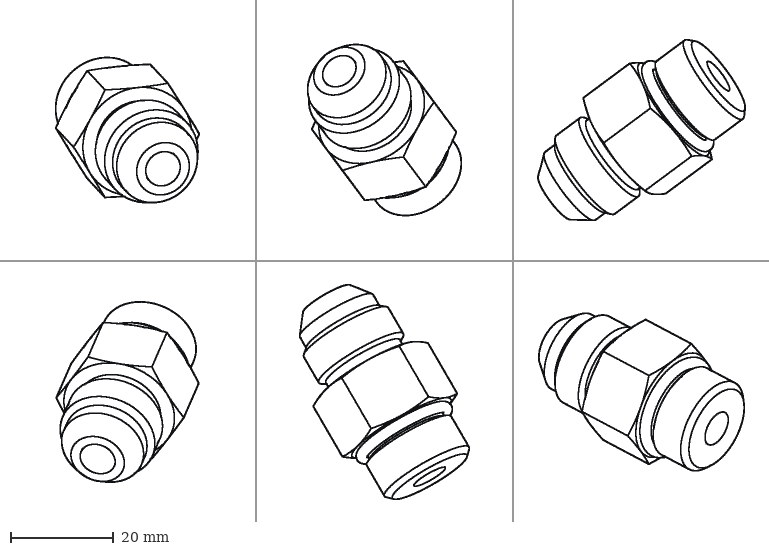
import cadquery as cq
import math

length = 40.65
bore_diameter = 7.05

thread_radius = 19.05 / 2
port_chamfer = 1.15
groove_radius = 16.82 / 2
thread_runout_start = 8.13
groove_start = 8.78

hex_start = 11.18
hex_end = 24.0
hex_flats = 22.25
hex_corners = hex_flats / math.cos(math.radians(30))
hex_chamfer_angle = 20.0

neck_radius = 16.7 / 2
neck_end = 26.38
flare_thread_start = 27.1
flare_thread_end = 33.05
pilot_radius = 16.5 / 2
pilot_start = 34.18
cone_start = 36.8
cone_angle = 37.0
cone_end_radius = pilot_radius - (length - cone_start) * math.tan(math.radians(cone_angle))

ring_outer_radius = 21.2 / 2
ring_section_radius = (ring_outer_radius - groove_radius) / 2
ring_center_radius = groove_radius + ring_section_radius
ring_center_x = hex_start - ring_section_radius


def revolve_about_x(profile):
    return profile.close().revolve(360, (0, 0, 0), (1, 0, 0))


def make_port_end():
    profile = (
        cq.Workplane("XY")
        .lineTo(0, thread_radius - port_chamfer)
        .lineTo(port_chamfer, thread_radius)
        .lineTo(thread_runout_start, thread_radius)
        .lineTo(groove_start, groove_radius)
        .lineTo(hex_start, groove_radius)
        .lineTo(hex_start, 0)
    )
    return revolve_about_x(profile)


def make_hexagon():
    prism = (
        cq.Workplane("YZ", origin=(hex_start, 0, 0))
        .polygon(6, hex_corners)
        .extrude(hex_end - hex_start)
    )
    end_radius = hex_flats / 2
    half_length = (hex_end - hex_start) / 2
    peak_radius = end_radius + half_length / math.tan(math.radians(hex_chamfer_angle))
    envelope = revolve_about_x(
        cq.Workplane("XY")
        .moveTo(hex_start, 0)
        .lineTo(hex_start, end_radius)
        .lineTo(hex_start + half_length, peak_radius)
        .lineTo(hex_end, end_radius)
        .lineTo(hex_end, 0)
    )
    return prism.intersect(envelope)


def make_flare_end():
    profile = (
        cq.Workplane("XY")
        .moveTo(hex_end, 0)
        .lineTo(hex_end, neck_radius)
        .lineTo(neck_end, neck_radius)
        .lineTo(flare_thread_start, thread_radius)
        .lineTo(flare_thread_end, thread_radius)
        .lineTo(pilot_start, pilot_radius)
        .lineTo(cone_start, pilot_radius)
        .lineTo(length, cone_end_radius)
        .lineTo(length, 0)
    )
    return revolve_about_x(profile)


def make_fitting():
    bore = cq.Workplane("YZ").circle(bore_diameter / 2).extrude(length)
    return make_port_end().union(make_hexagon()).union(make_flare_end()).cut(bore)


def make_o_ring():
    section = cq.Workplane("XY").center(ring_center_x, ring_center_radius).circle(ring_section_radius)
    return section.revolve(360, (0, -ring_center_radius, 0), (1, -ring_center_radius, 0))


fitting = make_fitting()
o_ring = make_o_ring()

result = cq.Compound.makeCompound([fitting.val(), o_ring.val()])